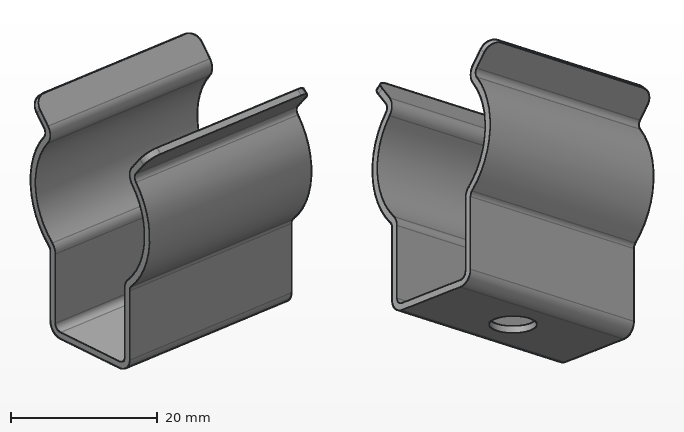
import cadquery as cq
import math

length = 30.0
height = 35.0
thickness = 1.0
channel_width = 16.0
throat_width = 16.0
grip_outer_radius = 12.0
grip_center_z = 22.0
lip_angle = math.radians(50)
lip_corner_radius = 2.0
hole_diameter = 6.5

inner_bend = thickness
outer_bend = inner_bend + thickness
wall_x = -channel_width / 2

bend_distance = grip_outer_radius + inner_bend
shoulder_x = wall_x - inner_bend
shoulder_z = grip_center_z - math.sqrt(bend_distance**2 - shoulder_x**2)
throat_x = -throat_width / 2 - outer_bend
throat_z = grip_center_z + math.sqrt(bend_distance**2 - throat_x**2)

shoulder_angle = math.atan2(grip_center_z - shoulder_z, -shoulder_x)
throat_angle = math.atan2(grip_center_z - throat_z, -throat_x)
lip_normal_angle = math.pi / 2 - lip_angle

lip_length = (height - throat_z - outer_bend * math.cos(lip_angle)) / math.sin(lip_angle)


def polar(center_x, center_z, radius, angle):
    """Point at the given radius and angle around a center."""
    return (center_x + radius * math.cos(angle), center_z + radius * math.sin(angle))


def lip_tip(bend_radius):
    """End of the lip face that leaves the throat bend at this radius."""
    start_x, start_z = polar(throat_x, throat_z, bend_radius, lip_normal_angle)
    return polar(start_x, start_z, lip_length, math.pi - lip_angle)


def shoulder_point(radius, angle):
    return polar(shoulder_x, shoulder_z, radius, angle)


def throat_point(radius, angle):
    return polar(throat_x, throat_z, radius, angle)


def half_profile():
    """Left half of the bent sheet, from the middle of the base to the lip."""
    base_bend_x = wall_x + outer_bend
    diagonal = math.radians(225)
    grip_outer_x = -grip_outer_radius
    grip_inner_x = grip_outer_x + thickness
    return (
        cq.Workplane("XZ")
        .moveTo(0, 0)
        .lineTo(base_bend_x, 0)
        .threePointArc(polar(base_bend_x, outer_bend, outer_bend, diagonal), (wall_x, outer_bend))
        .lineTo(wall_x, shoulder_z)
        .threePointArc(
            shoulder_point(inner_bend, shoulder_angle / 2),
            shoulder_point(inner_bend, shoulder_angle),
        )
        .threePointArc((grip_outer_x, grip_center_z), throat_point(inner_bend, throat_angle))
        .threePointArc(throat_point(inner_bend, 0), throat_point(inner_bend, lip_normal_angle))
        .lineTo(*lip_tip(inner_bend))
        .lineTo(*lip_tip(outer_bend))
        .lineTo(*throat_point(outer_bend, lip_normal_angle))
        .threePointArc(throat_point(outer_bend, 0), throat_point(outer_bend, throat_angle))
        .threePointArc((grip_inner_x, grip_center_z), shoulder_point(outer_bend, shoulder_angle))
        .threePointArc(
            shoulder_point(outer_bend, shoulder_angle / 2),
            shoulder_point(outer_bend, 0),
        )
        .lineTo(wall_x + thickness, outer_bend)
        .threePointArc(
            polar(base_bend_x, outer_bend, inner_bend, diagonal),
            (base_bend_x, thickness),
        )
        .lineTo(0, thickness)
        .close()
    )


def half_clip():
    """Left half of the clip with its two lip corners rounded."""
    half = half_profile().extrude(length / 2, both=True)
    lip_normal = cq.Vector(math.cos(lip_normal_angle), 0, math.sin(lip_normal_angle))
    corners = cq.selectors.ParallelDirSelector(lip_normal)
    return half.edges(corners).fillet(lip_corner_radius)


left_half = half_clip()
clip = left_half.union(left_half.mirror("YZ")).clean()

hole = cq.Workplane("XY").circle(hole_diameter / 2).extrude(thickness)
result = clip.cut(hole)